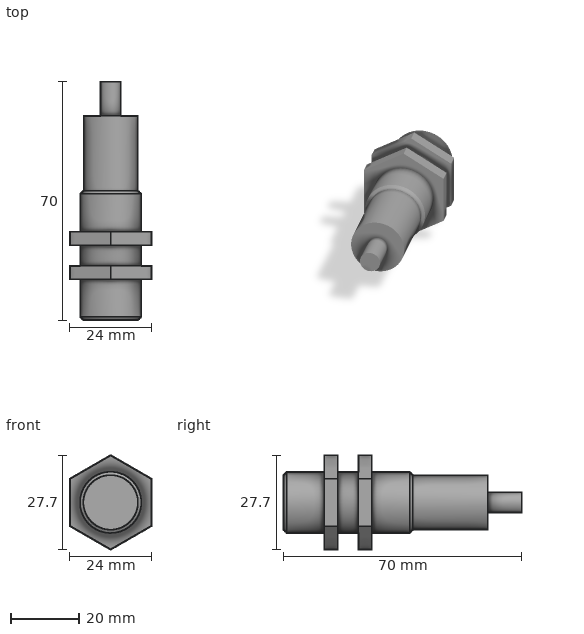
import cadquery as cq
import math

total_length = 70.0

barrel_diameter = 18.0
barrel_length = 38.0
barrel_chamfer = 1.0

sleeve_diameter = 15.95
sleeve_end = 60.0
cable_diameter = 6.0

nut_across_flats = 24.0
nut_thickness = 4.0
nut_starts = (12.0, 22.0)


def rod(diameter, start, end):
    """Cylinder about the Y axis between two Y positions."""
    plane = cq.Plane(origin=(0, start, 0), xDir=(1, 0, 0), normal=(0, 1, 0))
    return cq.Workplane(plane).circle(diameter / 2).extrude(end - start)


def nut(start):
    """Solid hexagonal nut with corners pointing along +Z and -Z."""
    across_corners = nut_across_flats / math.cos(math.pi / 6)
    plane = cq.Plane(origin=(0, start, 0), xDir=(0, 0, 1), normal=(0, 1, 0))
    return cq.Workplane(plane).polygon(6, across_corners).extrude(nut_thickness)


barrel = rod(barrel_diameter, 0, barrel_length).edges("%CIRCLE").chamfer(barrel_chamfer)
sleeve = rod(sleeve_diameter, barrel_length, sleeve_end)
cable = rod(cable_diameter, sleeve_end, total_length)

result = barrel.union(sleeve).union(cable)
for nut_start in nut_starts:
    result = result.union(nut(nut_start))